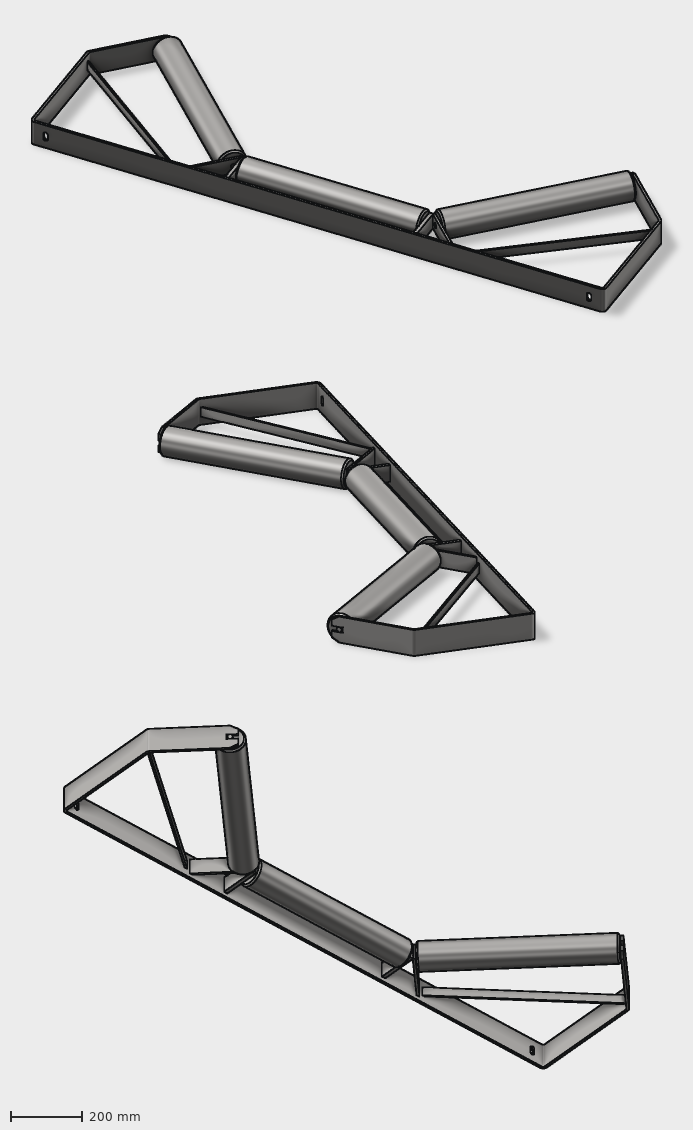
import cadquery as cq
import math

overall_width = 1800.0
frame_height = 80.0
strip_thickness = 8.0
bend_radius = 5.0
side_corner_y = 365.0
corner_to_axis = 232.0
bolt_slot_width = 15.0
bolt_slot_height = 29.0
bolt_slot_inset = 49.0

tip_overhang = 23.0
tip_chamfer_across = 13.0
tip_chamfer_along = 23.0
shaft_slot_depth = 10.0

roller_diameter = 88.0
roller_length = 572.0
roller_chamfer = 5.0
shaft_diameter = 16.0
middle_roller_y = 100.0
wing_angle = 45.0
upright_gap = 578.0

bracket_height = 50.0
bracket_overlap = 2.0
brace_height = 29.0
brace_thickness = 6.0
brace_foot_x = 440.0
brace_head_y = 356.0

half_width = overall_width / 2
wing_cos = math.cos(math.radians(wing_angle))
wing_sin = math.sin(math.radians(wing_angle))
gap_half = upright_gap / 2
shaft_half = gap_half + strip_thickness
shaft_length = 2 * shaft_half
wing_center_x = half_width - corner_to_axis * wing_sin - shaft_half * wing_cos
wing_center_y = side_corner_y + corner_to_axis * wing_cos - shaft_half * wing_sin


def mirrored(body):
    return body.mirror("YZ")


def wing_point(along, across):
    """Point measured along and across the axis of the right wing roller from its middle."""
    x = wing_center_x + along * wing_cos - across * wing_sin
    y = wing_center_y + along * wing_sin + across * wing_cos
    return (x, y)


def place_on_wing(body, along):
    x, y = wing_point(along, 0)
    return body.rotate((0, 0, 0), (0, 0, 1), wing_angle).translate((x, y, 0))


def plate(points, height):
    """Flat outline in XY, extruded evenly above and below Z = 0."""
    return cq.Workplane("XY").polyline(points).close().extrude(height / 2, both=True)


def tip_cutter():
    """Shaft slot and two corner chamfers of a frame tip pointing to +Y, shaft axis on X."""
    cut_width = 4 * strip_thickness
    slot_length = 2 * tip_overhang + shaft_slot_depth
    slot_middle = slot_length / 2 - shaft_slot_depth
    cutter = cq.Workplane("XY").box(cut_width, slot_length, shaft_diameter).translate((0, slot_middle, 0))
    for side in (1, -1):
        edge = side * frame_height / 2
        corner = (
            cq.Workplane("YZ")
            .polyline([
                (tip_overhang, edge),
                (tip_overhang - tip_chamfer_along, edge),
                (tip_overhang, edge - side * tip_chamfer_across),
            ])
            .close()
            .extrude(cut_width / 2, both=True)
        )
        cutter = cutter.union(corner)
    return cutter


def make_frame():
    """One bent strip: base, two sides and two slanted ends."""
    inner_x = half_width - strip_thickness
    inner_corner_y = side_corner_y - strip_thickness * math.tan(math.radians(wing_angle / 2))
    outer_tip = wing_point(shaft_half, tip_overhang)
    inner_tip = wing_point(gap_half, tip_overhang)
    right_outer = [(half_width, 0), (half_width, side_corner_y), outer_tip]
    right_inner = [inner_tip, (inner_x, inner_corner_y), (inner_x, strip_thickness)]
    right_side = right_outer + right_inner
    left_side = [(-x, y) for x, y in reversed(right_side)]
    frame = plate(right_side + left_side, frame_height)

    outer_bend = bend_radius + strip_thickness
    bends = [
        (half_width, 0, outer_bend),
        (half_width, side_corner_y, outer_bend),
        (inner_x, strip_thickness, bend_radius),
        (inner_x, inner_corner_y, bend_radius),
    ]
    for side in (1, -1):
        for x, y, radius in bends:
            frame = frame.edges(cq.selectors.NearestToPointSelector((side * x, y, 0))).fillet(radius)

    cutter = place_on_wing(tip_cutter(), shaft_half)
    frame = frame.cut(cutter).cut(mirrored(cutter))

    bolt_x = half_width - bolt_slot_inset
    bolt_slots = (
        cq.Workplane("XZ")
        .pushPoints([(bolt_x, 0), (-bolt_x, 0)])
        .slot2D(bolt_slot_height, bolt_slot_width, 90)
        .extrude(2 * strip_thickness, both=True)
    )
    return frame.cut(bolt_slots)


def make_roller():
    """Roller with its shaft, centred on the origin along X."""
    shell = (
        cq.Workplane("YZ")
        .workplane(offset=-roller_length / 2)
        .circle(roller_diameter / 2)
        .extrude(roller_length)
        .faces("<X or >X")
        .chamfer(roller_chamfer)
    )
    shaft = (
        cq.Workplane("YZ")
        .workplane(offset=-shaft_length / 2)
        .circle(shaft_diameter / 2)
        .extrude(shaft_length)
    )
    return shell.union(shaft)


def make_bracket(middle_roller, wing_roller):
    """Upright and slanted leg that meet at the top and hold the ends of two rollers."""

    def slanted_foot(along):
        x, y = wing_point(along, 0)
        return wing_point(along, -(y - strip_thickness) / wing_cos)

    upright_top = wing_point(-shaft_half, tip_overhang)[1] + bracket_overlap
    upright_outer = wing_point(-shaft_half, tip_overhang)[0] + bracket_overlap
    upright = plate(
        [
            (gap_half, strip_thickness),
            (upright_outer, strip_thickness),
            (upright_outer, upright_top),
            (gap_half, upright_top),
        ],
        bracket_height,
    )
    slanted = plate(
        [
            slanted_foot(-gap_half),
            slanted_foot(-shaft_half),
            wing_point(-shaft_half, tip_overhang),
            wing_point(-gap_half, tip_overhang),
        ],
        bracket_height,
    )
    return upright.union(slanted).cut(middle_roller).cut(wing_roller)


def make_brace():
    """Diagonal strip from the base up to the side of the frame."""
    head_x = half_width - strip_thickness
    slope = math.atan2(brace_head_y - strip_thickness, head_x - brace_foot_x)
    return plate(
        [
            (brace_foot_x, strip_thickness),
            (head_x, brace_head_y),
            (head_x, brace_head_y - brace_thickness / math.cos(slope)),
            (brace_foot_x + brace_thickness / math.sin(slope), strip_thickness),
        ],
        brace_height,
    )


frame = make_frame()
middle_roller = make_roller().translate((0, middle_roller_y, 0))
wing_roller = place_on_wing(make_roller(), 0)
bracket = make_bracket(middle_roller, wing_roller)
brace = make_brace()

bodies = [frame, middle_roller]
for body in (wing_roller, bracket, brace):
    bodies += [body, mirrored(body)]

result = cq.Compound.makeCompound([body.val() for body in bodies])